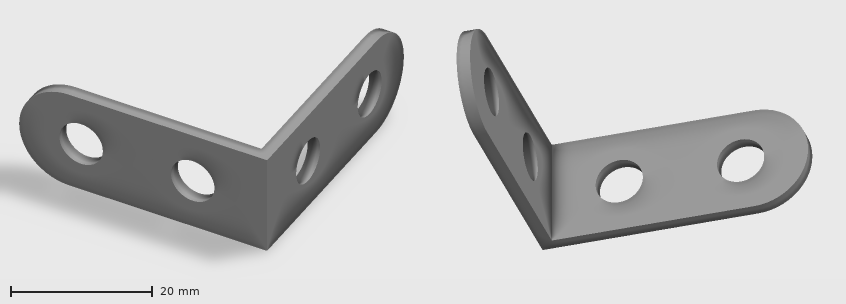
import cadquery as cq

leg_length = 40.0
width = 16.0
thickness = 2.0
hole_diameter = 7.0
hole_distances_from_tip = (10.0, 28.0)

end_radius = width / 2
mid_height = width / 2


def make_leg(plane):
    """Flat leg with a rounded tip at local x = 0 and two holes on its centre line."""
    outline = (
        cq.Workplane(plane)
        .moveTo(end_radius, 0)
        .lineTo(leg_length, 0)
        .lineTo(leg_length, width)
        .lineTo(end_radius, width)
        .threePointArc((0, mid_height), (end_radius, 0))
        .close()
    )
    holes = (
        cq.Workplane(plane)
        .pushPoints([(distance, mid_height) for distance in hole_distances_from_tip])
        .circle(hole_diameter / 2)
        .extrude(thickness)
    )
    return outline.extrude(thickness).cut(holes)


x_leg_plane = cq.Plane(origin=(0, thickness, 0), xDir=(1, 0, 0), normal=(0, -1, 0))

y_leg_plane = cq.Plane(
    origin=(leg_length, leg_length, 0), xDir=(0, -1, 0), normal=(-1, 0, 0)
)

result = make_leg(x_leg_plane).union(make_leg(y_leg_plane))